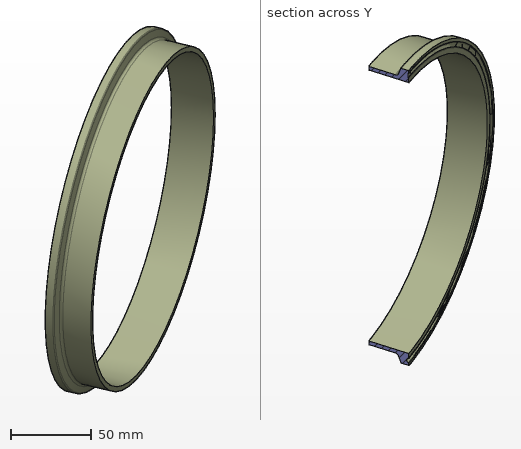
import cadquery as cq

flange_radius = 116.8
length = 28.0
bore_radius = 107.0
tube_radius = 110.2

rim_width = 5.8
rim_round = 0.7
taper_end_x = 7.5
taper_end_radius = 111.5
neck_end_x = 9.3
neck_sag_x = 8.2
neck_sag_radius = 110.56

groove_center_radius = 112.5
groove_width = 3.3
groove_depth = 1.5
groove_lip_round = 0.5


def revolve_about_x(profile):
    """Turn a closed (x, radius) profile about the X axis."""
    return profile.close().revolve(360, (0, 0, 0), (1, 0, 0))


def ferrule_body():
    """Tube with a clamp flange that tapers into it at the rear."""
    profile = (
        cq.Workplane("XY")
        .moveTo(0, bore_radius)
        .lineTo(0, flange_radius)
        .lineTo(rim_width - rim_round, flange_radius)
        .radiusArc((rim_width, flange_radius - rim_round), rim_round)
        .lineTo(taper_end_x, taper_end_radius)
        .threePointArc((neck_sag_x, neck_sag_radius), (neck_end_x, tube_radius))
        .lineTo(length, tube_radius)
        .lineTo(length, bore_radius)
    )
    return revolve_about_x(profile)


def gasket_groove():
    """Ring cut with an arc-shaped section."""
    half_width = groove_width / 2
    profile = (
        cq.Workplane("XY")
        .moveTo(0, groove_center_radius - half_width)
        .threePointArc((groove_depth, groove_center_radius), (0, groove_center_radius + half_width))
    )
    return revolve_about_x(profile)


def groove_lips(body):
    """Circular edges where the trough opens into the front face."""
    clearance = 0.2
    outer_limit = groove_center_radius + groove_width / 2 + clearance
    inner_limit = groove_center_radius - groove_width / 2 - clearance
    front_edges = body.faces("<X").edges("%CIRCLE").vals()
    lips = [edge for edge in front_edges if inner_limit < edge.radius() < outer_limit]
    return body.newObject(lips)


grooved_body = ferrule_body().cut(gasket_groove())
result = groove_lips(grooved_body).fillet(groove_lip_round)